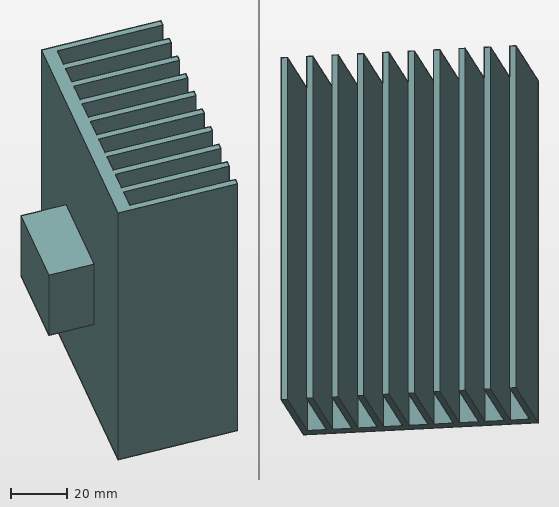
import cadquery as cq

width = 85.0
height = 127.0
total_depth = 62.0

block_size = 31.0
block_depth = 17.0
block_offset_x = 0.5
block_offset_z = -4.5

base_thickness = 5.2
fin_count = 10
fin_thickness = 2.3
fin_length = total_depth - block_depth - base_thickness
fin_pitch = (width - fin_thickness) / (fin_count - 1)


def box_from_front(size_x, size_y, size_z, center_x, front_y, center_z):
    """Box centred in X and Z that extends toward +Y from front_y."""
    box = cq.Workplane("XY").box(size_x, size_y, size_z, centered=(True, False, True))
    return box.translate((center_x, front_y, center_z))


base = box_from_front(width, base_thickness, height, 0, 0, 0)

block = box_from_front(
    block_size, block_depth, block_size, block_offset_x, -block_depth, block_offset_z
)

result = base.union(block)

first_fin_x = (fin_thickness - width) / 2
for index in range(fin_count):
    fin_x = first_fin_x + index * fin_pitch
    fin = box_from_front(fin_thickness, base_thickness + fin_length, height, fin_x, 0, 0)
    result = result.union(fin)